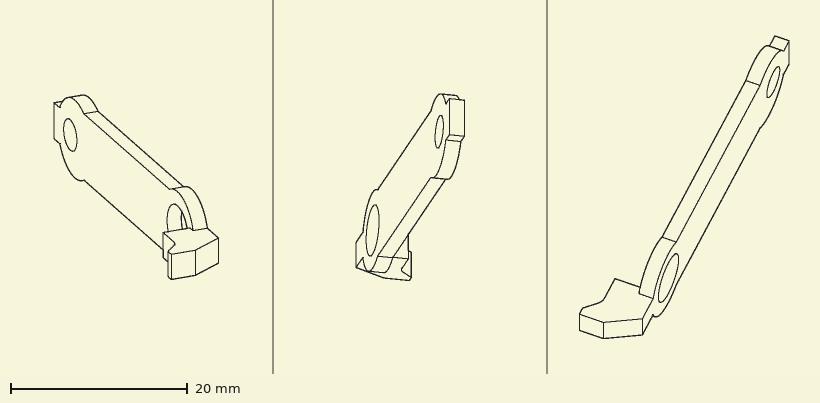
import cadquery as cq
import math

length = 44.25
thickness = 1.75
bar_height = 8.15

head_diameter = 9.55
head_x = 5.85
pivot_diameter = 3.7
pivot_x = 4.55
tab_height = 4.43

ring_diameter = 9.3
ring_bore = 5.8
ring_x = 34.57

hook_height = 3.1
hook_start_x = 38.07
hook_depth = 6.8
hook_heel_depth = 5.1
hook_back_x = 42.05
hook_slant_depth = 3.85
hook_tip_width = 0.95
hook_slope = math.radians(45)
hook_fillet = 1.35


def plate(start_x, end_x, height):
    """Rectangular plate of the link thickness, centred on the X axis."""
    return cq.Workplane("XY").box(
        end_x - start_x, thickness, height, centered=(False, False, True)
    ).translate((start_x, -thickness, 0))


def disc(center_x, diameter):
    """Round plate of the link thickness, its axis along Y."""
    return cq.Workplane("XZ").center(center_x, 0).circle(diameter / 2).extrude(thickness)


def hook():
    """Hook reaching forward from the link, with a rounded inner corner."""
    tip_x = length - hook_tip_width
    corner_x = tip_x - (hook_depth - hook_heel_depth) / math.tan(hook_slope)
    profile = [
        (hook_start_x, 0),
        (hook_back_x, 0),
        (length, -hook_slant_depth),
        (length, -hook_depth),
        (tip_x, -hook_depth),
        (corner_x, -hook_heel_depth),
        (hook_start_x, -hook_heel_depth),
    ]
    body = cq.Workplane("XY").polyline(profile).close().extrude(hook_height / 2, both=True)
    corner = cq.selectors.NearestToPointSelector((corner_x, -hook_heel_depth, 0))
    return body.edges("|Z").edges(corner).fillet(hook_fillet)


link = (
    plate(0, head_x, tab_height)
    .union(plate(head_x, ring_x, bar_height))
    .union(disc(head_x, head_diameter))
    .union(disc(ring_x, ring_diameter))
    .union(hook())
)
result = link.cut(disc(pivot_x, pivot_diameter)).cut(disc(ring_x, ring_bore))